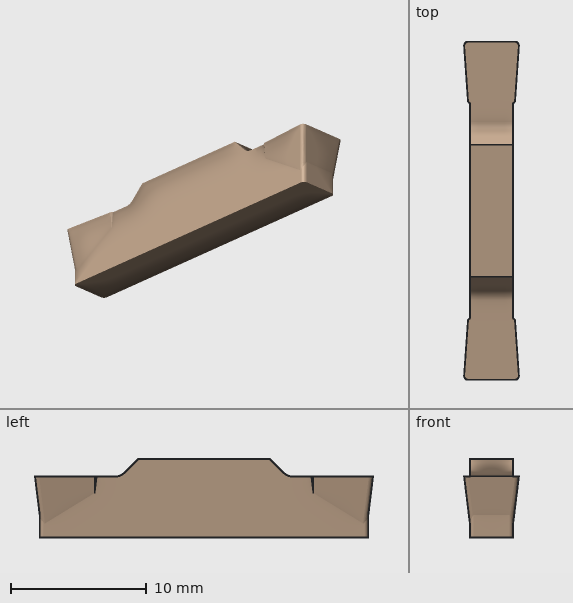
import math

import cadquery as cq

tip_length = 24.9
total_height = 5.79
tip_width = 4.05

shank_width = 3.2
head_height = 4.5
clamp_land_length = 9.7
ramp_angle = math.radians(45)
ramp_fillet = 0.97

corner_radius = 0.3
front_relief = math.tan(math.radians(7))
side_relief = math.tan(math.radians(6.5))
side_taper = math.tan(math.radians(4))
front_relief_bottom = 1.66
head_length = 4.4
shoulder_run = 0.15
head_depth = 4.0

tip_y = tip_length / 2
shank_end_y = tip_y - front_relief * (head_height - front_relief_bottom)

tip_half_width = tip_width / 2 + side_taper * corner_radius


def make_shank():
    """Bar with rounded end edges and a raised, ramped clamping land in the middle."""
    land_y = clamp_land_length / 2
    ramp_foot_y = land_y + (total_height - head_height) / math.tan(ramp_angle)
    profile = [
        (-shank_end_y, 0),
        (shank_end_y, 0),
        (shank_end_y, head_height),
        (ramp_foot_y, head_height),
        (land_y, total_height),
        (-land_y, total_height),
        (-ramp_foot_y, head_height),
        (-shank_end_y, head_height),
    ]
    shank = cq.Workplane("YZ").polyline(profile).close().extrude(shank_width / 2, both=True)
    for side in (-1, 1):
        foot = (0, side * ramp_foot_y, head_height)
        shank = shank.edges(cq.selectors.NearestToPointSelector(foot)).fillet(ramp_fillet)
    end_edges = shank.faces("<Y or >Y").edges("|Z")
    return end_edges.fillet(corner_radius)


def head_outline(depth):
    """Plan outline of a head at the given depth below its top face."""
    front_y = tip_y - front_relief * depth
    back_y = tip_y - head_length
    root_y = back_y - shoulder_run
    side_offset = side_relief * depth
    front_x = tip_half_width - side_taper * (tip_y - front_y) - side_offset
    back_x = tip_half_width - side_taper * head_length - side_offset
    root_x = shank_width / 2 - side_offset
    return [
        (-front_x, front_y),
        (front_x, front_y),
        (back_x, back_y),
        (root_x, root_y),
        (-root_x, root_y),
        (-back_x, back_y),
    ]


def make_head():
    """Cutting head at the +Y end, relieved on its front and both sides."""
    head = (
        cq.Workplane("XY", origin=(0, 0, head_height))
        .polyline(head_outline(0))
        .close()
        .workplane(offset=-head_depth)
        .polyline(head_outline(head_depth))
        .close()
        .loft(ruled=True)
    )
    middle_y = tip_y - front_relief * head_depth / 2
    for side in (-1, 1):
        corner = (side * tip_half_width, middle_y, head_height - head_depth / 2)
        head = head.edges(cq.selectors.NearestToPointSelector(corner)).fillet(corner_radius)
    return head


head = make_head()
result = make_shank().union(head).union(head.mirror("XZ"))